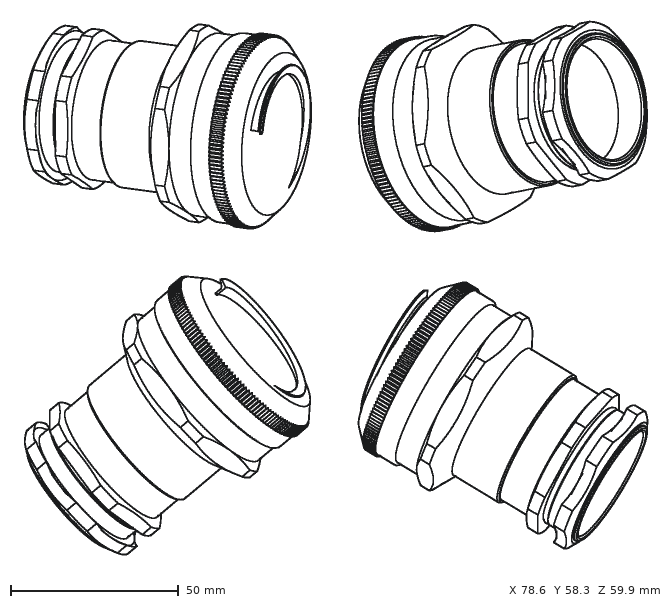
import cadquery as cq
import math


sleeve_dia = 40.0
sleeve_chamfer = 0.5
sleeve_end = 9.9
bore_dia = 36.5
bore_depth = 9.3
bore_chamfer = 0.55

groove_dia = 39.2
gasket_start = 10.15
gasket_dia = 40.1

small_nut_flats = 45.0
front_nut_face = 0.9
front_nut_face_dia = 42.0
front_nut_back = 6.3
front_nut_corner_dia = 47.6
dish_depth = 1.0

lock_nut_start = 11.8
lock_nut_rim_end = 15.4
lock_nut_end = 16.4
lock_nut_corner_dia = 48.1

neck_dia = front_nut_face_dia
body_start = 26.1
body_dia = 44.2
body_chamfer = 0.5
body_end = 42.5

large_hex_flats = 55.0
large_hex_corner_dia = 59.9
large_hex_rim_width = 3.15
hex_cone_angle = 60
collar_dia = large_hex_flats

cap_start = 59.0
cap_dia = 57.0
cap_round = 0.5
knurl_start = 65.4
knurl_dia = 58.3
knurl_count = 144
knurl_end = 69.3
cap_face = 74.1
cap_face_dia = 48.9

lip_top = 78.65
lip_pitch = 7.15
lip_root_overlap = 0.4
lip_tip_dia = 42.3
lip_wall_dia = 37.9
lip_flare_height = 2.1
lip_bend_height = 1.5
lip_bend_dia = 38.7
lip_tip_height = 0.5
lip_rim_dia = 41.85
lip_inner_flare_height = 0.9
lip_end_z = 6.0
lip_start_angle = 10
lip_sweep_angle = 245


def turned(points):
    """Solid of revolution about X from (station, radius) points."""
    return cq.Workplane("XY").polyline(points).close().revolve(360, (0, 0, 0), (1, 0, 0))


def hexagon(flats, start, end):
    """Hexagonal prism along X with corners on the Z axis."""
    across_corners = flats / math.cos(math.radians(30))
    return (
        cq.Workplane("YZ", origin=(start, 0, 0))
        .polygon(6, across_corners)
        .extrude(end - start)
        .rotate((0, 0, 0), (1, 0, 0), 90)
    )


def cone_length(small_dia, large_dia):
    """Axial length of a cone between two diameters at the hexagon chamfer angle."""
    return (large_dia - small_dia) / 2 / math.tan(math.radians(hex_cone_angle))


def make_front_nut():
    dish_floor = front_nut_back - dish_depth
    cone_end = front_nut_face + cone_length(front_nut_face_dia, front_nut_corner_dia)
    blank = turned([
        (front_nut_face, 0),
        (front_nut_face, front_nut_face_dia / 2),
        (cone_end, front_nut_corner_dia / 2),
        (front_nut_back, front_nut_corner_dia / 2),
        (dish_floor, small_nut_flats / 2),
        (dish_floor, 0),
    ])
    return blank.intersect(hexagon(small_nut_flats, front_nut_face, front_nut_back))


def make_lock_nut():
    blank = turned([
        (lock_nut_start, 0),
        (lock_nut_start, lock_nut_corner_dia / 2),
        (lock_nut_rim_end, lock_nut_corner_dia / 2),
        (lock_nut_end, neck_dia / 2),
        (lock_nut_end, 0),
    ])
    return blank.intersect(hexagon(small_nut_flats, lock_nut_start, lock_nut_end))


def make_large_hex():
    rim_start = body_end + cone_length(body_dia, large_hex_corner_dia)
    rim_end = rim_start + large_hex_rim_width
    hex_end = rim_end + cone_length(collar_dia, large_hex_corner_dia)
    blank = turned([
        (body_end, 0),
        (body_end, body_dia / 2),
        (rim_start, large_hex_corner_dia / 2),
        (rim_end, large_hex_corner_dia / 2),
        (hex_end, collar_dia / 2),
        (hex_end, 0),
    ])
    collar = turned([
        (hex_end, 0),
        (hex_end, collar_dia / 2),
        (cap_start, collar_dia / 2),
        (cap_start, 0),
    ])
    return blank.intersect(hexagon(large_hex_flats, body_end, hex_end)).union(collar)


def make_sleeve_and_body():
    sleeve = turned([
        (0, 0),
        (0, sleeve_dia / 2 - sleeve_chamfer),
        (sleeve_chamfer, sleeve_dia / 2),
        (sleeve_end, sleeve_dia / 2),
        (sleeve_end, groove_dia / 2),
        (lock_nut_start, groove_dia / 2),
        (lock_nut_start, neck_dia / 2),
        (body_start, neck_dia / 2),
        (body_start, body_dia / 2 - body_chamfer),
        (body_start + body_chamfer, body_dia / 2),
        (body_end, body_dia / 2),
        (body_end, 0),
    ])
    gasket = (
        cq.Workplane("XY")
        .moveTo(gasket_start, 0)
        .lineTo(gasket_start, groove_dia / 2)
        .threePointArc(
            ((gasket_start + lock_nut_start) / 2, gasket_dia / 2),
            (lock_nut_start, groove_dia / 2),
        )
        .lineTo(lock_nut_start, 0)
        .close()
        .revolve(360, (0, 0, 0), (1, 0, 0))
    )
    return sleeve.union(gasket)


def make_bore():
    return turned([
        (0, 0),
        (0, bore_dia / 2 + bore_chamfer),
        (bore_chamfer, bore_dia / 2),
        (bore_depth, bore_dia / 2),
        (bore_depth, 0),
    ])


def make_cap():
    cap = (
        cq.Workplane("YZ", origin=(cap_start, 0, 0))
        .circle(cap_dia / 2)
        .extrude(knurl_start - cap_start)
        .faces("<X")
        .edges()
        .fillet(cap_round)
    )
    tooth_points = []
    for i in range(2 * knurl_count):
        angle = math.pi * i / knurl_count
        radius = (knurl_dia if i % 2 == 0 else cap_dia) / 2
        tooth_points.append((radius * math.cos(angle), radius * math.sin(angle)))
    knurl = (
        cq.Workplane("YZ", origin=(knurl_start, 0, 0))
        .polyline(tooth_points)
        .close()
        .extrude(cap_face - knurl_start)
    )
    envelope = turned([
        (knurl_start, 0),
        (knurl_start, knurl_dia / 2),
        (knurl_end, knurl_dia / 2),
        (cap_face, cap_face_dia / 2),
        (cap_face, 0),
    ])
    return cap.union(knurl.intersect(envelope))


def make_spiral_lip():
    """Thin flared wall whose rim falls along a helix until it sinks into the cap."""
    trim_angle = math.degrees(math.asin(lip_end_z / (lip_rim_dia / 2)))
    helix_top = lip_top + lip_pitch * (trim_angle - lip_start_angle) / 360
    helix_fall = lip_pitch * lip_sweep_angle / 360
    root_depth = lip_top - cap_face + lip_root_overlap
    section = [
        (bore_dia / 2, root_depth),
        (lip_wall_dia / 2, root_depth),
        (lip_wall_dia / 2, lip_flare_height),
        (lip_bend_dia / 2, lip_bend_height),
        (lip_tip_dia / 2, lip_tip_height),
        (lip_rim_dia / 2, 0),
        (bore_dia / 2, lip_inner_flare_height),
    ]
    helix = cq.Wire.makeHelix(lip_pitch, helix_fall, lip_wall_dia / 2)
    wall = cq.Workplane("XZ").polyline(section).close().sweep(cq.Workplane(helix), isFrenet=True)
    wall = (
        wall.rotate((0, 0, 0), (0, 1, 0), -90)
        .rotate((0, 0, 0), (1, 0, 0), 90 - lip_start_angle)
        .translate((helix_top, 0, 0))
    )
    trim = (
        cq.Workplane("XY", origin=(lip_top, -lip_tip_dia / 2, 0))
        .box(2 * (lip_top - cap_face), lip_tip_dia / 2, lip_end_z, centered=(True, False, False))
    )
    return wall.cut(trim)


result = (
    make_sleeve_and_body()
    .union(make_front_nut())
    .union(make_lock_nut())
    .union(make_large_hex())
    .union(make_cap())
    .union(make_spiral_lip())
    .cut(make_bore())
)